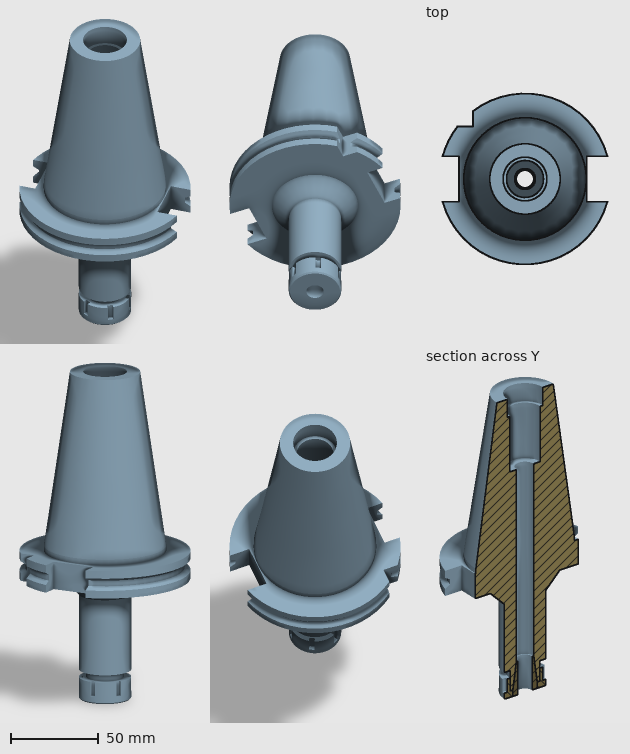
import cadquery as cq
import math

OVERALL_HEIGHT = 191.8

GAUGE_RADIUS = 34.9
TAPER_LENGTH = 101.8
TAPER_RATIO = 7 / 24
LAND_HEIGHT = 3.0
gauge_z = OVERALL_HEIGHT - TAPER_LENGTH
taper_top_radius = GAUGE_RADIUS - TAPER_LENGTH * TAPER_RATIO / 2

FLANGE_RADIUS = 48.7
FLANGE_HEIGHT = 16.1
GROOVE_RADIUS = 45.5
GROOVE_WIDTH = 7.0
GROOVE_FLANK_ANGLE = 30.0
flange_top_z = gauge_z - LAND_HEIGHT
flange_bottom_z = flange_top_z - FLANGE_HEIGHT
groove_mid_z = flange_top_z - FLANGE_HEIGHT / 2
groove_depth = FLANGE_RADIUS - GROOVE_RADIUS
groove_half_width = GROOVE_WIDTH / 2
groove_floor_half_width = groove_half_width - groove_depth * math.tan(math.radians(GROOVE_FLANK_ANGLE))

DRIVE_SLOT_WIDTH = 25.7
LEFT_SLOT_X = -37.5
RIGHT_SLOT_X = 35.3
NOTCH_X = -29.7
NOTCH_Y = 30.0

SHANK_RADIUS = 15.0
SHANK_CONE_RADIUS = 24.5
SHANK_CONE_HEIGHT = 9.5
SHANK_BOTTOM_Z = 17.0
shank_cone_bottom_z = flange_bottom_z - SHANK_CONE_HEIGHT

NECK_RADIUS = 10.7
NECK_BOTTOM_Z = 4.0

MOUTH_RADIUS = 12.5
MOUTH_DEPTH = 11.5
THREAD_BORE_RADIUS = 10.5
THREAD_BORE_DEPTH = 47.0
THROUGH_RADIUS = 6.0

COLLET_RADIUS = 8.5
COLLET_BORE_RADIUS = 5.0
COLLET_CONE_ANGLE = 8.0
collet_top_z = NECK_BOTTOM_Z + (COLLET_RADIUS - THROUGH_RADIUS) / math.tan(math.radians(COLLET_CONE_ANGLE))

NUT_RADIUS = 15.0
NUT_HEIGHT = 12.7
NUT_CHAMFER = 0.8
WRENCH_SLOT_COUNT = 6
WRENCH_SLOT_WIDTH = 3.3
WRENCH_SLOT_DEPTH = 2.3
WRENCH_SLOT_LENGTH = 8.5


def revolve_profile(points):
    """Revolve a closed (radius, z) outline about the Z axis."""
    return cq.Workplane("XZ").polyline(points).close().revolve(360, (0, 0, 0), (0, 1, 0))


def block(x_range, y_range, z_range):
    """Axis-aligned box given by its limits."""
    lengths = [high - low for low, high in (x_range, y_range, z_range)]
    corner = (x_range[0], y_range[0], z_range[0])
    return cq.Workplane("XY").box(*lengths, centered=False).translate(corner)


def make_holder_blank():
    """Outside of the holder with the stepped bore and the collet seat."""
    return revolve_profile([
        (taper_top_radius, OVERALL_HEIGHT),
        (GAUGE_RADIUS, gauge_z),
        (GAUGE_RADIUS, flange_top_z),
        (FLANGE_RADIUS, flange_top_z),
        (FLANGE_RADIUS, groove_mid_z + groove_half_width),
        (GROOVE_RADIUS, groove_mid_z + groove_floor_half_width),
        (GROOVE_RADIUS, groove_mid_z - groove_floor_half_width),
        (FLANGE_RADIUS, groove_mid_z - groove_half_width),
        (FLANGE_RADIUS, flange_bottom_z),
        (SHANK_CONE_RADIUS, flange_bottom_z),
        (SHANK_RADIUS, shank_cone_bottom_z),
        (SHANK_RADIUS, SHANK_BOTTOM_Z),
        (NECK_RADIUS, SHANK_BOTTOM_Z),
        (NECK_RADIUS, NECK_BOTTOM_Z),
        (COLLET_RADIUS, NECK_BOTTOM_Z),
        (THROUGH_RADIUS, collet_top_z),
        (THROUGH_RADIUS, OVERALL_HEIGHT - THREAD_BORE_DEPTH),
        (THREAD_BORE_RADIUS, OVERALL_HEIGHT - THREAD_BORE_DEPTH),
        (THREAD_BORE_RADIUS, OVERALL_HEIGHT - MOUTH_DEPTH),
        (MOUTH_RADIUS, OVERALL_HEIGHT - MOUTH_DEPTH),
        (MOUTH_RADIUS, OVERALL_HEIGHT),
    ])


def make_holder():
    """Holder blank with the drive slots and the notch cut through the flange."""
    flange_z = (flange_bottom_z, flange_top_z)
    slot_y = (-DRIVE_SLOT_WIDTH / 2, DRIVE_SLOT_WIDTH / 2)
    left_slot = block((-FLANGE_RADIUS, LEFT_SLOT_X), slot_y, flange_z)
    right_slot = block((RIGHT_SLOT_X, FLANGE_RADIUS), slot_y, flange_z)
    notch = block((-FLANGE_RADIUS, NOTCH_X), (NOTCH_Y, FLANGE_RADIUS), flange_z)
    return make_holder_blank().cut(left_slot).cut(right_slot).cut(notch)


def make_nut():
    """Nut around the neck and the collet, with wrench slots open at its top."""
    nut = revolve_profile([
        (NECK_RADIUS, NUT_HEIGHT),
        (NUT_RADIUS, NUT_HEIGHT),
        (NUT_RADIUS, NUT_CHAMFER),
        (NUT_RADIUS - NUT_CHAMFER, 0),
        (COLLET_RADIUS, 0),
        (COLLET_RADIUS, NECK_BOTTOM_Z),
        (NECK_RADIUS, NECK_BOTTOM_Z),
    ])
    wrench_slot = block(
        (NUT_RADIUS - WRENCH_SLOT_DEPTH, NUT_RADIUS + WRENCH_SLOT_DEPTH),
        (-WRENCH_SLOT_WIDTH / 2, WRENCH_SLOT_WIDTH / 2),
        (NUT_HEIGHT - WRENCH_SLOT_LENGTH, NUT_HEIGHT),
    )
    for index in range(WRENCH_SLOT_COUNT):
        angle = index * 360 / WRENCH_SLOT_COUNT
        nut = nut.cut(wrench_slot.rotate((0, 0, 0), (0, 0, 1), angle))
    return nut


def make_collet():
    """Bored collet, flush with the bottom face of the nut."""
    return revolve_profile([
        (COLLET_BORE_RADIUS, 0),
        (COLLET_RADIUS, 0),
        (COLLET_RADIUS, NECK_BOTTOM_Z),
        (THROUGH_RADIUS, collet_top_z),
        (COLLET_BORE_RADIUS, collet_top_z),
    ])


holder = make_holder()
nut = make_nut()
collet = make_collet()

result = cq.Compound.makeCompound([holder.val(), nut.val(), collet.val()])